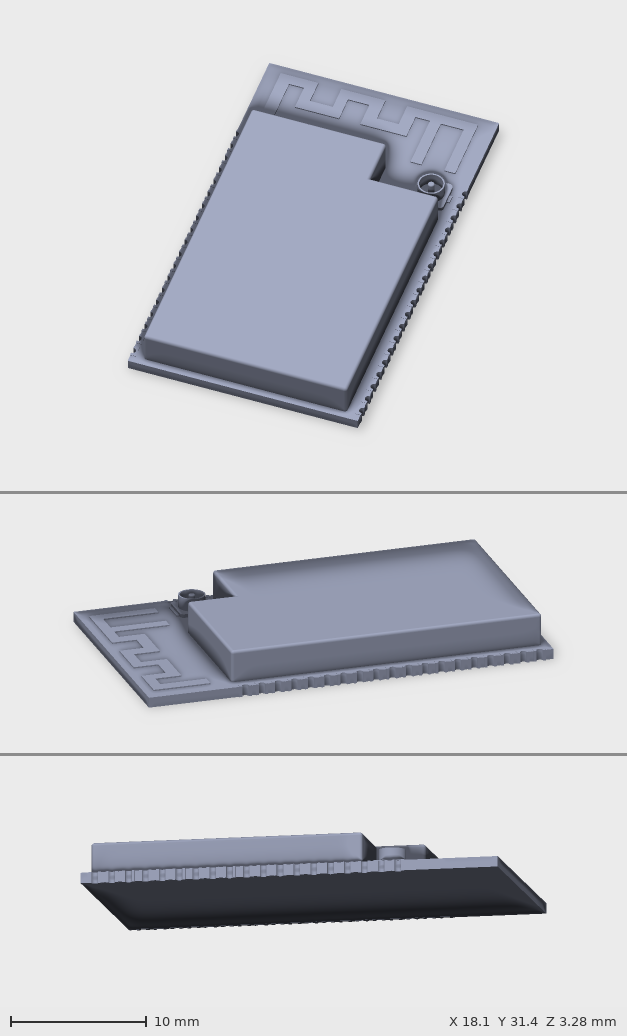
import cadquery as cq

board_length = 31.4
board_width = 18.0
board_thickness = 0.8
copper = 0.03
antenna_height = 0.1

pad_count = 19
pad_row_span = 22.83
pad_pitch = pad_row_span / (pad_count - 1)
pad_length = 0.95
pad_depth = 0.4
castellation_diameter = 0.5
first_pad_offset = 7.5

can_height = 2.45
can_left_margin = 1.05
can_right_margin = 1.07
can_top_margin = 6.75
can_bottom_margin = 0.55
can_step_from_left = 11.55
can_step_from_top = 10.42
can_radius = 0.22

connector_from_left = 15.65
connector_from_top = 8.4
base_width = 2.65
base_length = 2.5
base_height = 0.28
base_radius = 0.28
tab_height = 0.1
side_tab_span = 3.1
side_tab_length = 0.65
end_tab_span = 2.95
end_tab_width = 1.85
barrel_outer_diameter = 2.0
barrel_inner_diameter = 1.8
barrel_height = 1.25
pin_diameter = 0.5
pin_height = 1.25
pin_tip_radius = 0.1

left = -board_width / 2
right = board_width / 2
top_end = board_length / 2
embed = board_thickness / 2


def from_corner(across, down):
    """Point given as distances from the left edge and from the antenna end."""
    return (left + across, top_end - down)


def raised_from_board(outline_points, height):
    """Prism rooted inside the board and standing `height` above it."""
    return (
        cq.Workplane("XY", origin=(0, 0, board_thickness - embed))
        .polyline(outline_points)
        .close()
        .extrude(height + embed)
    )


def make_board():
    return cq.Workplane("XY").box(
        board_width, board_length, board_thickness, centered=(True, True, False)
    )


def pad_centres():
    return [
        (side, top_end - first_pad_offset - i * pad_pitch)
        for side in (left, right)
        for i in range(pad_count)
    ]


def make_pads():
    """Copper wrapped around the board edge: top, side and bottom."""
    wrap_thickness = board_thickness + 2 * copper
    wrap_width = board_width + 2 * copper
    plane = cq.Workplane("XY", origin=(0, 0, -copper))
    blocks = plane.pushPoints(pad_centres()).rect(2 * pad_depth, pad_length).extrude(wrap_thickness)
    limits = plane.rect(wrap_width, board_length).extrude(wrap_thickness)
    return blocks.intersect(limits)


def make_castellations():
    return (
        cq.Workplane("XY", origin=(0, 0, -copper))
        .pushPoints(pad_centres())
        .circle(castellation_diameter / 2)
        .extrude(board_thickness + 2 * copper)
    )


def make_antenna():
    """Meandering trace: outer side left to right, then back along the inner side."""
    outer_top = 0.75
    inner_top = 1.57
    meander_upper = 2.65
    meander_lower = 3.58
    open_end = 5.15
    feed_end = 5.87
    outline = [
        (1.15, open_end),
        (1.15, outer_top),
        (4.1, outer_top),
        (4.1, meander_upper),
        (5.9, meander_upper),
        (5.9, outer_top),
        (9.35, outer_top),
        (9.35, meander_upper),
        (11.05, meander_upper),
        (11.05, outer_top),
        (16.6, outer_top),
        (16.6, feed_end),
        (15.75, feed_end),
        (15.75, inner_top),
        (13.97, inner_top),
        (13.97, feed_end),
        (13.13, feed_end),
        (13.13, inner_top),
        (12.0, inner_top),
        (12.0, meander_lower),
        (8.38, meander_lower),
        (8.38, inner_top),
        (6.72, inner_top),
        (6.72, meander_lower),
        (3.25, meander_lower),
        (3.25, inner_top),
        (2.1, inner_top),
        (2.1, open_end),
    ]
    return raised_from_board([from_corner(*point) for point in outline], antenna_height)


def make_can():
    """Shield can with a corner notch for the connector."""
    can_right = board_width - can_right_margin
    can_bottom = board_length - can_bottom_margin
    outline = [
        (can_left_margin, can_top_margin),
        (can_step_from_left, can_top_margin),
        (can_step_from_left, can_step_from_top),
        (can_right, can_step_from_top),
        (can_right, can_bottom),
        (can_left_margin, can_bottom),
    ]
    can = raised_from_board([from_corner(*point) for point in outline], can_height)
    notch_corner = from_corner(can_step_from_left, can_step_from_top)
    notch_edge = cq.selectors.NearestToPointSelector((*notch_corner, board_thickness + can_height / 2))
    outer_corners = cq.selectors.StringSyntaxSelector("|Z") - notch_edge
    can = can.edges(outer_corners).fillet(can_radius)
    return can.faces(">Z").edges().fillet(can_radius)


def make_connector():
    """Coaxial socket: rounded base with four tabs, open barrel and centre pin."""
    centre = from_corner(connector_from_left, connector_from_top)
    plane = cq.Workplane("XY", origin=(*centre, board_thickness - embed))
    base = plane.rect(base_width, base_length).extrude(base_height + embed)
    base = base.edges("|Z").fillet(base_radius)
    side_tabs = plane.rect(side_tab_span, side_tab_length).extrude(tab_height + embed)
    end_tabs = plane.rect(end_tab_width, end_tab_span).extrude(tab_height + embed)
    barrel = (
        plane.circle(barrel_outer_diameter / 2)
        .circle(barrel_inner_diameter / 2)
        .extrude(barrel_height + embed)
    )
    pin = plane.circle(pin_diameter / 2).extrude(pin_height + embed)
    pin = pin.faces(">Z").edges().fillet(pin_tip_radius)
    return base.union(side_tabs).union(end_tabs).union(barrel).union(pin)


result = (
    make_board()
    .union(make_pads())
    .cut(make_castellations())
    .union(make_antenna())
    .union(make_can())
    .union(make_connector())
)